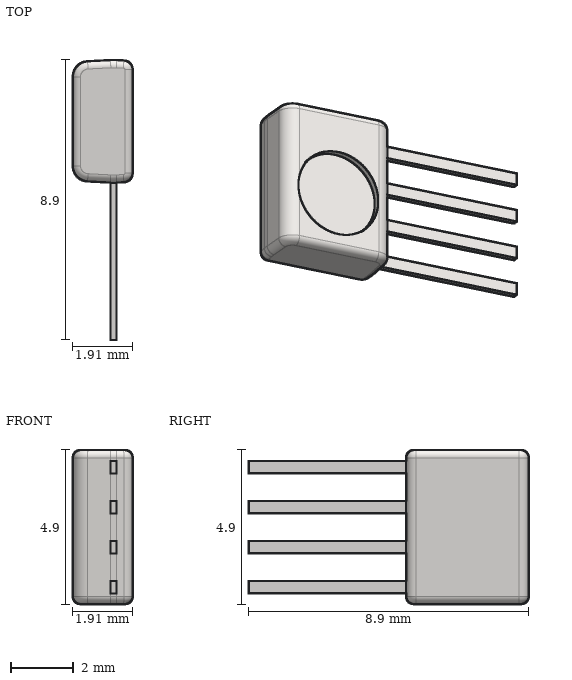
import cadquery as cq
import math

body_depth = 1.91
body_width = 3.9
body_height = 4.9
draft_angle = 3.0
lens_corner_radius = 0.5
back_corner_radius = 0.3
rim_radius = 0.25

lead_count = 4
lead_pitch = 1.27
lead_thickness = 0.2
lead_width = 0.4
lead_length = 5.0
lead_embed = 0.5
lead_front_x = 1.2

recess_diameter = 2.85
recess_depth = 0.25
recess_center_y = 0.03
recess_above_bottom = 2.0

half_width = body_width / 2
half_height = body_height / 2
lead_back_x = lead_front_x + lead_thickness
draft_slope = math.tan(math.radians(draft_angle))
lens_half_width = half_width - lead_front_x * draft_slope
back_half_width = half_width - (body_depth - lead_back_x) * draft_slope


def make_body():
    """Block tapering away from the parting band, with all outer edges rounded."""
    half_outline = [
        (0, lens_half_width),
        (lead_front_x, half_width),
        (lead_back_x, half_width),
        (body_depth, back_half_width),
    ]
    mirrored_half = [(x, -y) for x, y in reversed(half_outline)]
    block = (
        cq.Workplane("XY", origin=(0, 0, -half_height))
        .polyline(half_outline + mirrored_half)
        .close()
        .extrude(body_height)
    )
    block = block.faces("<X").edges("|Z").fillet(lens_corner_radius)
    block = block.faces(">X").edges("|Z").fillet(back_corner_radius)
    return block.faces("<Z or >Z").edges().fillet(rim_radius)


def make_recess():
    """Cylinder that cuts the shallow round recess in the lens side."""
    recess_center_z = recess_above_bottom - half_height
    return (
        cq.Workplane("YZ")
        .center(recess_center_y, recess_center_z)
        .circle(recess_diameter / 2)
        .extrude(recess_depth)
    )


def make_lead(center_z):
    """Straight rectangular lead at the given height."""
    return cq.Workplane("XY").box(
        lead_thickness, lead_length + lead_embed, lead_width, centered=(False, False, True)
    ).translate((lead_front_x, -half_width - lead_length, center_z))


result = make_body().cut(make_recess())
for index in range(lead_count):
    lead_z = (index - (lead_count - 1) / 2) * lead_pitch
    result = result.union(make_lead(lead_z))